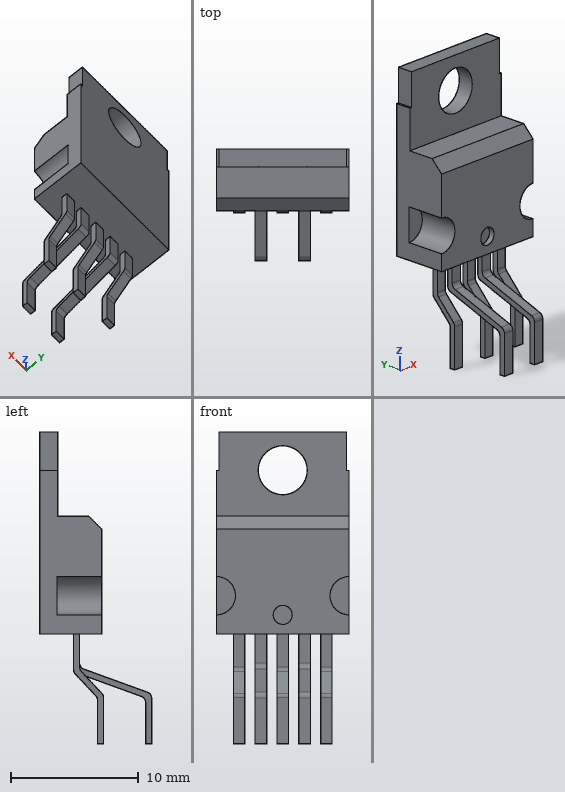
import cadquery as cq
import math

total_height = 24.4
body_width = 10.4
body_depth = 4.85
body_bottom = 8.6
body_top = 17.8
body_chamfer = 1.02

tab_thickness = 1.42
tab_top_width = 10.0
shoulder_drop = 3.0
mounting_hole_diameter = 3.8

notch_diameter = 3.0
notch_floor = 1.35
notch_rise = 3.0
mark_diameter = 1.5
mark_rise = notch_rise / 2
mark_depth = 0.5

lead_pitch = 1.7
lead_thickness = 0.5
lead_front = 3.12
lead_embed = 0.5
bend_radius = 0.5
near_lead_width = 0.9
near_lead_reach = 5.0
near_bend_top = 5.8
near_bend_bottom = 3.8
far_lead_width = 0.95
far_lead_reach = 8.75
far_bend_top = 5.98
far_bend_bottom = 3.93


def centred_block(width, depth, bottom, top):
    """Block centred on X = 0, reaching from the back face to -depth."""
    block = cq.Workplane("XY").box(width, depth, top - bottom, centered=(True, False, False))
    return block.translate((0, -depth, bottom))


def front_cylinder(x, z, diameter, floor):
    """Cylinder along Y from depth floor out to the front face of the body."""
    plane = cq.Workplane("XZ", origin=(x, -floor, z))
    return plane.circle(diameter / 2).extrude(body_depth - floor)


def make_tab():
    shoulder = total_height - shoulder_drop
    tab = centred_block(body_width, tab_thickness, body_bottom, shoulder)
    tab = tab.union(centred_block(tab_top_width, tab_thickness, body_bottom, total_height))
    hole = front_cylinder(0, shoulder, mounting_hole_diameter, 0)
    return tab.cut(hole)


def make_body():
    body = centred_block(body_width, body_depth, body_bottom, body_top)
    return body.faces("<Y").edges(">Z").chamfer(body_chamfer)


def cut_moulding_marks(package):
    for x in (-body_width / 2, body_width / 2):
        notch = front_cylinder(x, body_bottom + notch_rise, notch_diameter, notch_floor)
        package = package.cut(notch)
    mark = front_cylinder(0, body_bottom + mark_rise, mark_diameter, body_depth - mark_depth)
    return package.cut(mark)


def make_lead(x, width, reach, bend_top, bend_bottom):
    """Bent flat strip of constant thickness whose lower run has its front face at reach."""
    turn = math.atan2(reach - lead_front, bend_top - bend_bottom)
    back_drop = lead_thickness * math.tan(turn / 2)
    root = body_bottom + lead_embed
    front = [(-lead_front, root), (-lead_front, bend_top), (-reach, bend_bottom), (-reach, 0)]
    back = [
        (lead_thickness - reach, 0),
        (lead_thickness - reach, bend_bottom - back_drop),
        (lead_thickness - lead_front, bend_top - back_drop),
        (lead_thickness - lead_front, root),
    ]
    plane = cq.Workplane("YZ", origin=(x - width / 2, 0, 0))
    strip = plane.polyline(front + back).close().extrude(width)
    bend_zone = cq.selectors.BoxSelector(
        (x - width, -reach - lead_thickness, lead_thickness), (x + width, 0, body_bottom)
    )
    return strip.edges("|X").edges(bend_zone).fillet(bend_radius)


result = cut_moulding_marks(make_tab().union(make_body()))
for position in (-2, 0, 2):
    result = result.union(
        make_lead(position * lead_pitch, near_lead_width, near_lead_reach, near_bend_top, near_bend_bottom)
    )
for position in (-1, 1):
    result = result.union(
        make_lead(position * lead_pitch, far_lead_width, far_lead_reach, far_bend_top, far_bend_bottom)
    )